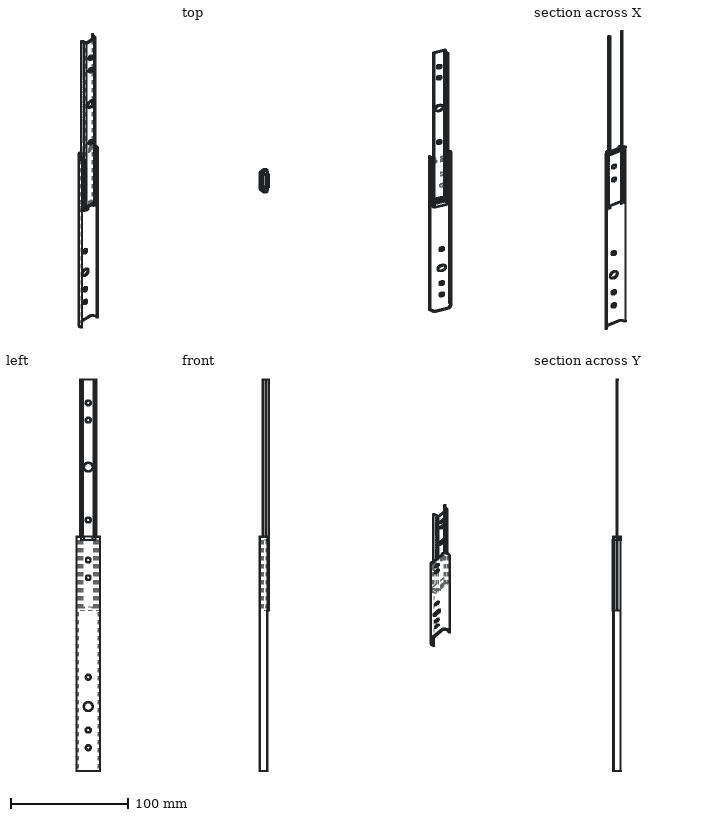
import cadquery as cq
import math


total_length = 334.0
outer_length = 200.0
total_depth = 8.0
outer_width = 20.0
sheet = 1.0
stop_height = 3.0

web_width = 11.5
bend_radius = 2.85
shoulder_angle = 50
lip_angle = 137

outer_stop_start = 6.5
outer_stop_flat = 3.7
outer_stop_depth = 1.85

cage_length = 60.0
cage_sheet = 0.5
cage_clearance = 0.15
cage_lip_angle = 125
cage_lip_x = 7.5

inner_half_width = 7.0
tip_x = 2.7
groove_end = (5.5, 5.7)
inner_web_half = 5.5
inner_floor_half = 4.5
groove_sag = 0.2
web_bend_sag = 0.17

inner_stop_half = 4.0
inner_stop_depth = 2.0

screw_diameter = 4.0
access_diameter = 7.5
outer_screw_heights = (20.0, 35.0, 80.0, 165.0, 180.0)
outer_access_height = 55.0
inner_screw_drops = (20.0, 34.7, 120.0)
inner_access_drop = 74.8

cage_top = outer_length - stop_height
cage_bottom = cage_top - cage_length
inner_bottom = cage_bottom
inner_length = total_length - inner_bottom
bend_center = (bend_radius, web_width / 2)
race_y = outer_width / 2 - bend_radius
race_center = (
    bend_center[0] + (race_y - bend_center[1]) * math.tan(math.radians(shoulder_angle)),
    race_y,
)


def on_arc(center, radius, angle):
    """Point of an arc whose outward normal is turned by angle from -X toward +Y."""
    turn = math.radians(angle)
    return (center[0] - radius * math.cos(turn), center[1] + radius * math.sin(turn))


def mirrored(point):
    return (point[0], -point[1])


def bulged(start, end, sag):
    """Middle point of an arc from start to end that bulges to the left by sag."""
    dx = end[0] - start[0]
    dy = end[1] - start[1]
    chord = math.hypot(dx, dy)
    return (
        (start[0] + end[0]) / 2 - dy / chord * sag,
        (start[1] + end[1]) / 2 + dx / chord * sag,
    )


def add_half(section, steps):
    """Follow steps of (arc middle or None, end point)."""
    for middle, end in steps:
        if middle is None:
            section = section.lineTo(*end)
        else:
            section = section.threePointArc(middle, end)
    return section


def backward(start, steps):
    """The same path walked from its end to its start."""
    ends = [start] + [end for _, end in steps]
    return [(steps[i][0], ends[i]) for i in reversed(range(len(steps)))]


def mirrored_steps(steps):
    return [(middle and mirrored(middle), mirrored(end)) for middle, end in steps]


def folded_sheet(outside_start, outside, inside_start, inside, bottom, length):
    """Extrude a symmetric folded sheet; both paths run from the web to the +Y lip."""
    section = cq.Workplane("XY", origin=(0, 0, bottom)).moveTo(*outside_start)
    section = add_half(section, outside)
    section = section.lineTo(*inside[-1][1])
    section = add_half(section, backward(inside_start, inside))
    section = section.lineTo(*mirrored(inside_start))
    section = add_half(section, mirrored_steps(inside))
    section = section.lineTo(*mirrored(outside[-1][1]))
    section = add_half(section, mirrored_steps(backward(outside_start, outside)))
    return section.close().extrude(length)


def channel_path(offset, end_angle):
    """Start and steps of a path lying offset inside the outer rail's outer surface."""
    radius = bend_radius - offset
    start = (offset, web_width / 2)
    steps = [
        (
            on_arc(bend_center, radius, shoulder_angle / 2),
            on_arc(bend_center, radius, shoulder_angle),
        ),
        (None, on_arc(race_center, radius, shoulder_angle)),
        (
            on_arc(race_center, radius, (shoulder_angle + end_angle) / 2),
            on_arc(race_center, radius, end_angle),
        ),
    ]
    return start, steps


def holes(diameter, heights):
    """Cutters along X through a rail web."""
    points = [(0, height) for height in heights]
    return cq.Workplane("YZ").pushPoints(points).circle(diameter / 2).extrude(total_depth)


def outer_stop():
    """Strip of the web's upper end pressed in between two curved flanks.

    Each flank is an arc that leaves the web tangentially and ends at the pressed-in flat.
    """
    start_x = bend_radius - math.sqrt(bend_radius**2 - (outer_stop_start - web_width / 2) ** 2)
    run = outer_stop_start - outer_stop_flat
    radius = (run**2 + outer_stop_depth**2) / (2 * outer_stop_depth)
    sweep = math.asin(run / radius)

    def flank_point(turn, offset):
        reach = radius - offset
        return (start_x + radius - reach * math.cos(turn), outer_stop_start - reach * math.sin(turn))

    front = [flank_point(turn, 0) for turn in (0, sweep / 2, sweep)]
    rear_x = outer_stop_depth + sheet
    rear_sweep = math.acos((radius - rear_x) / (radius - sheet))
    rear = [flank_point(turn, sheet) for turn in (0, rear_sweep / 2, rear_sweep)]
    return (
        cq.Workplane("XY", origin=(0, 0, cage_top))
        .moveTo(*front[0])
        .threePointArc(front[1], front[2])
        .lineTo(*mirrored(front[2]))
        .threePointArc(mirrored(front[1]), mirrored(front[0]))
        .lineTo(*mirrored(rear[0]))
        .threePointArc(mirrored(rear[1]), mirrored(rear[2]))
        .lineTo(*rear[2])
        .threePointArc(rear[1], rear[0])
        .close()
        .extrude(stop_height)
    )


def make_outer_rail():
    outside = channel_path(0, lip_angle)
    inside = channel_path(sheet, lip_angle)
    rail = folded_sheet(*outside, *inside, 0, outer_length)
    strip = cq.Workplane("XY", origin=(0, 0, cage_top)).rect(2 * outer_stop_depth, 2 * outer_stop_start)
    rail = rail.cut(strip.extrude(stop_height)).union(outer_stop())
    rail = rail.cut(holes(screw_diameter, outer_screw_heights))
    return rail.cut(holes(access_diameter, [outer_access_height]))


def cage_path(offset):
    """Channel path that leaves the ball race along a straight lip."""
    start, steps = channel_path(offset, cage_lip_angle)
    race_end = steps[-1][1]
    drop = (cage_lip_x - race_end[0]) / math.tan(math.radians(cage_lip_angle))
    steps.append((None, (cage_lip_x, race_end[1] + drop)))
    return start, steps


def make_cage():
    outside = cage_path(sheet + cage_clearance)
    inside = cage_path(sheet + cage_clearance + cage_sheet)
    return folded_sheet(*outside, *inside, cage_bottom, cage_length)


def inner_stop():
    """Strip of the web's lower end pressed in between two straight flanks."""
    face = total_depth - inner_stop_depth
    flat_half = inner_stop_half - sheet
    return (
        cq.Workplane("XY", origin=(0, 0, inner_bottom))
        .moveTo(total_depth, inner_stop_half)
        .lineTo(face - sheet, inner_stop_half)
        .lineTo(face - sheet, -inner_stop_half)
        .lineTo(total_depth, -inner_stop_half)
        .lineTo(total_depth, -flat_half)
        .lineTo(face, -flat_half)
        .lineTo(face, flat_half)
        .lineTo(total_depth, flat_half)
        .close()
        .extrude(stop_height)
    )


def make_inner_rail():
    tip_radius = sheet / 2
    tip_center = (tip_x + tip_radius, inner_half_width - tip_radius)
    tip_end = (tip_center[0], inner_half_width)
    groove_inside = (groove_end[0], groove_end[1] - sheet)
    tip_inside = (tip_x, inner_half_width - sheet)
    web_outside = (total_depth, inner_web_half)
    web_inside = (total_depth - sheet, inner_floor_half)
    outside = [
        (bulged(web_outside, groove_end, -web_bend_sag), groove_end),
        (bulged(groove_end, tip_end, groove_sag), tip_end),
        (on_arc(tip_center, tip_radius, 45), (tip_x, tip_center[1])),
    ]
    inside = [
        (bulged(web_inside, groove_inside, -groove_sag), groove_inside),
        (bulged(groove_inside, tip_inside, groove_sag), tip_inside),
    ]
    rail = folded_sheet(web_outside, outside, web_inside, inside, inner_bottom, inner_length)
    strip = cq.Workplane("XY", origin=(total_depth, 0, inner_bottom)).rect(2 * sheet, 2 * inner_stop_half)
    rail = rail.cut(strip.extrude(stop_height)).union(inner_stop())
    rail = rail.cut(holes(screw_diameter, [total_length - drop for drop in inner_screw_drops]))
    return rail.cut(holes(access_diameter, [total_length - inner_access_drop]))


outer_rail = make_outer_rail()
inner_rail = make_inner_rail()
cage = make_cage()

result = cq.Compound.makeCompound([outer_rail.val(), inner_rail.val(), cage.val()])